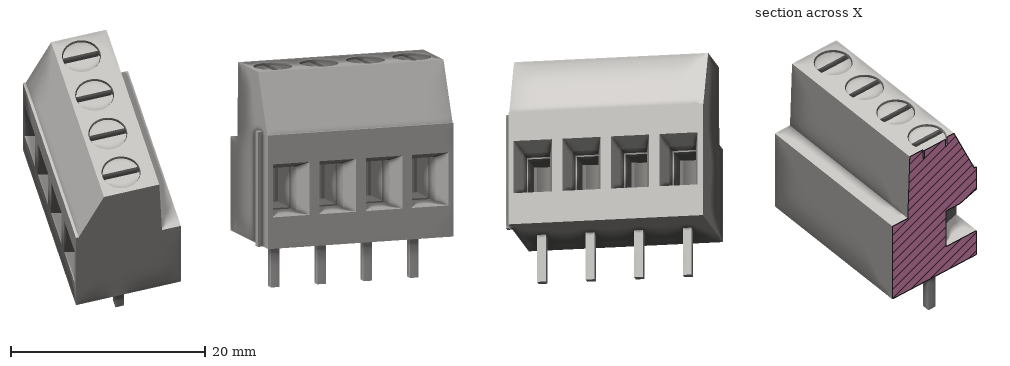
import cadquery as cq
import math


POLES = 4
PITCH = 5.08
WIDTH = POLES * PITCH
DEPTH = 11.2
HEIGHT = 18.0
OVERALL_HEIGHT = 23
FRONT_LEDGE_HEIGHT = 11.9
FRONT_LEDGE_DEPTH = 0.3
TOP_FRONT_Y = 3.0
TOP_BACK_Y = DEPTH - 2.3
SHELF_HEIGHT = 9.85
SHELF_DEPTH = 2.02

RIB_HEIGHT = 12.03
RIB_PROJECTION = 0.55
RIB_OUTER_WIDTH = 0.78
RIB_ROOT_WIDTH = 0.45
RIB_Y = 1.89

PIN_LENGTH = OVERALL_HEIGHT - HEIGHT
PIN_SIZE = 0.92
PIN_Y = 5.25

SCREW_Y = 5.52
BORE_DIAMETER = 4.0
SCREW_DIAMETER = 3.8
SCREW_RECESS = 0.2
SLOT_WIDTH = 0.7
SLOT_DEPTH = 1.0
BORE_DEPTH = SCREW_RECESS + SLOT_DEPTH

ENTRY_BOTTOM = 3.3
MOUTH_WIDTH = 4.0
MOUTH_HEIGHT = 5.55
FUNNEL_DEPTH = 2.2
THROAT_WIDTH = 2.78
THROAT_HEIGHT = 4.74
THROAT_END_Y = 4.0
CLAMP_WIDTH = 2.48
CLAMP_SILL = 0.15
CLAMP_HEIGHT = 4.42
GROOVE_WIDTH = 1.85
GROOVE_BACK_Y = SCREW_Y + BORE_DIAMETER / 2
CLAMP_BACK_Y = SCREW_Y + math.sqrt((BORE_DIAMETER / 2) ** 2 - (GROOVE_WIDTH / 2) ** 2)


def make_housing():
    outline = [
        (0, 0),
        (DEPTH, 0),
        (DEPTH, SHELF_HEIGHT),
        (DEPTH - SHELF_DEPTH, SHELF_HEIGHT),
        (TOP_BACK_Y, HEIGHT),
        (TOP_FRONT_Y, HEIGHT),
        (FRONT_LEDGE_DEPTH, FRONT_LEDGE_HEIGHT),
        (0, FRONT_LEDGE_HEIGHT),
    ]
    return cq.Workplane("YZ").polyline(outline).close().extrude(WIDTH)


def make_rib():
    outline = [
        (0, RIB_Y - RIB_ROOT_WIDTH / 2),
        (0, RIB_Y + RIB_ROOT_WIDTH / 2),
        (-RIB_PROJECTION, RIB_Y + RIB_OUTER_WIDTH / 2),
        (-RIB_PROJECTION, RIB_Y - RIB_OUTER_WIDTH / 2),
    ]
    return cq.Workplane("XY").polyline(outline).close().extrude(RIB_HEIGHT)


def make_pin(x):
    return cq.Workplane("XY").center(x, PIN_Y).rect(PIN_SIZE, PIN_SIZE).extrude(-PIN_LENGTH)


def make_screw_cut(x):
    """Bore around a slotted screw head, with the head left standing in it."""
    top = cq.Workplane("XY", origin=(x, SCREW_Y, HEIGHT))
    bore = top.circle(BORE_DIAMETER / 2).extrude(-BORE_DEPTH)
    head = top.workplane(offset=-BORE_DEPTH).circle(SCREW_DIAMETER / 2).extrude(BORE_DEPTH - SCREW_RECESS)
    slot = top.workplane(offset=-SCREW_RECESS).rect(SLOT_WIDTH, BORE_DIAMETER).extrude(-SLOT_DEPTH)
    return bore.cut(head.cut(slot))


def make_wire_entry(x):
    """Tapered funnel, straight throat, and a clamp chamber whose back is grooved around the screw axis."""
    mouth = cq.Workplane("XZ", origin=(x, 0, ENTRY_BOTTOM)).center(0, MOUTH_HEIGHT / 2)
    funnel = (
        mouth.rect(MOUTH_WIDTH, MOUTH_HEIGHT)
        .workplane(offset=-FUNNEL_DEPTH)
        .center(0, (THROAT_HEIGHT - MOUTH_HEIGHT) / 2)
        .rect(THROAT_WIDTH, THROAT_HEIGHT)
        .loft(ruled=True)
    )
    throat = (
        cq.Workplane("XZ", origin=(x, FUNNEL_DEPTH, ENTRY_BOTTOM))
        .center(0, THROAT_HEIGHT / 2)
        .rect(THROAT_WIDTH, THROAT_HEIGHT)
        .extrude(FUNNEL_DEPTH - THROAT_END_Y)
    )
    groove_side = GROOVE_WIDTH / 2
    chamber = (
        cq.Workplane("XY", origin=(x, 0, ENTRY_BOTTOM + CLAMP_SILL))
        .moveTo(-CLAMP_WIDTH / 2, THROAT_END_Y)
        .lineTo(-CLAMP_WIDTH / 2, CLAMP_BACK_Y)
        .lineTo(-groove_side, CLAMP_BACK_Y)
        .threePointArc((0, GROOVE_BACK_Y), (groove_side, CLAMP_BACK_Y))
        .lineTo(CLAMP_WIDTH / 2, CLAMP_BACK_Y)
        .lineTo(CLAMP_WIDTH / 2, THROAT_END_Y)
        .close()
        .extrude(CLAMP_HEIGHT)
    )
    return funnel.union(throat).union(chamber)


result = make_housing().union(make_rib())
for pole in range(POLES):
    pole_x = (pole + 0.5) * PITCH
    result = result.union(make_pin(pole_x))
    result = result.cut(make_screw_cut(pole_x))
    result = result.cut(make_wire_entry(pole_x))